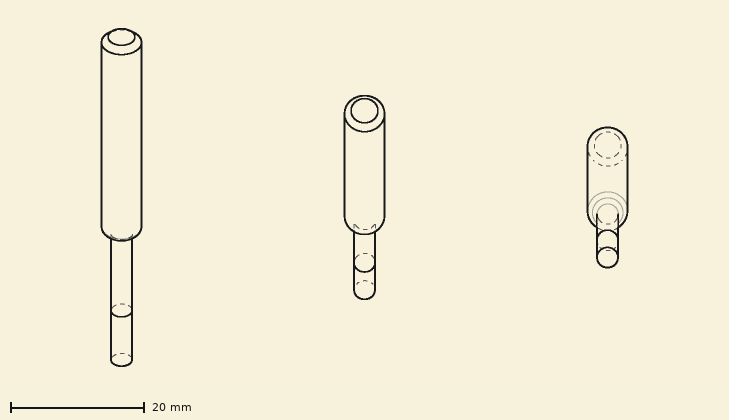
import cadquery as cq
import math

total_length = 62.0
shank_radius = 6.0 / 2
neck_radius = 3.15 / 2

top_chamfer = 1.0
rim_z = 26.0
rim_fillet = 0.8

neck_fillet = rim_fillet
center_distance = rim_fillet + neck_fillet
center_offset_r = center_distance - (shank_radius - neck_radius)
blend_angle = math.degrees(math.acos(center_offset_r / center_distance))
center_offset_z = center_distance * math.sin(math.radians(blend_angle))

joint_z = 10.0
point_height = 0.58


def arc_point(center_r, center_z, radius, angle):
    """Point at an angle in degrees on a circle in the profile plane."""
    a = math.radians(angle)
    return (center_r + radius * math.cos(a), center_z + radius * math.sin(a))


def make_shank():
    """Chamfered shank that blends through a rounded shoulder into the neck."""
    rim_r = shank_radius - rim_fillet
    hollow_r = neck_radius + neck_fillet
    hollow_z = rim_z - center_offset_z
    hollow_middle = arc_point(hollow_r, hollow_z, neck_fillet, 180 - blend_angle / 2)
    blend_point = arc_point(hollow_r, hollow_z, neck_fillet, 180 - blend_angle)
    rim_middle = arc_point(rim_r, rim_z, rim_fillet, -blend_angle / 2)
    profile = (
        cq.Workplane("XZ")
        .moveTo(0, joint_z)
        .lineTo(neck_radius, joint_z)
        .lineTo(neck_radius, hollow_z)
        .threePointArc(hollow_middle, blend_point)
        .threePointArc(rim_middle, (shank_radius, rim_z))
        .lineTo(shank_radius, total_length - top_chamfer)
        .lineTo(shank_radius - top_chamfer, total_length)
        .lineTo(0, total_length)
        .close()
    )
    return profile.revolve(360, (0, 0, 0), (0, 1, 0))


def make_cutting_tip():
    """Round tip that continues the neck and ends in a shallow conical point."""
    profile = (
        cq.Workplane("XZ")
        .moveTo(0, 0)
        .lineTo(neck_radius, point_height)
        .lineTo(neck_radius, joint_z)
        .lineTo(0, joint_z)
        .close()
    )
    return profile.revolve(360, (0, 0, 0), (0, 1, 0))


shank = make_shank()
cutting_tip = make_cutting_tip()

result = cq.Compound.makeCompound([shank.val(), cutting_tip.val()])